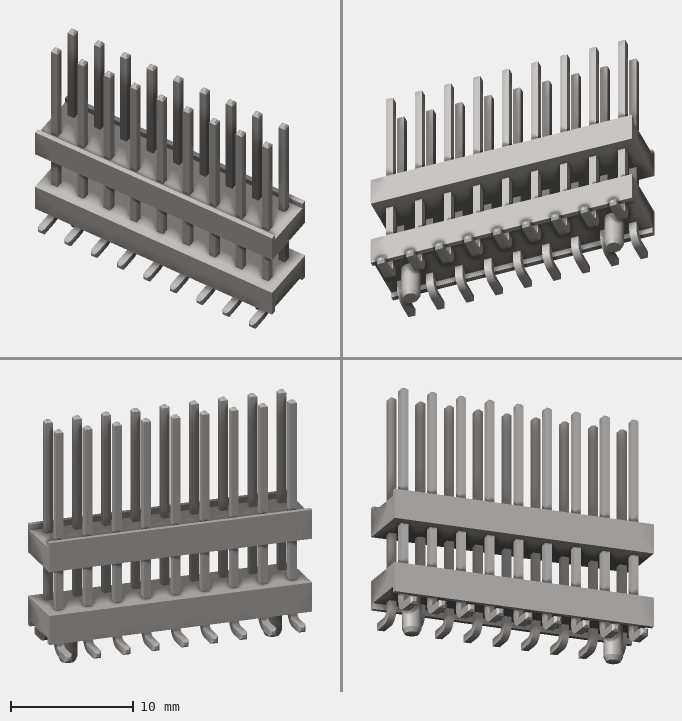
import cadquery as cq

pitch = 2.54
columns = 9
rows = 2
row_y = pitch / 2
first_column_x = -(columns - 1) * pitch / 2

pin_width = pitch / 4
pin_top_z = 19.43
foot_reach = 3.745
bend_inner_radius = pitch / 5
bend_outer_radius = bend_inner_radius + pin_width
tip_length = 0.18
tip_inset = 0.18

housing_length = columns * pitch
housing_width = rows * pitch
housing_height = pitch
lip_height = pitch / 5
lip_width = 0.42
lower_housing_z = pitch / 2
housing_gap = 1.5 * pitch
upper_housing_z = lower_housing_z + housing_height + housing_gap

peg_diameter = 1.6
peg_bottom_z = -pitch / 2
peg_taper_height = 0.4
peg_taper_inset = 0.2
peg_x = -first_column_x - pitch / 2
recess_floor_z = lower_housing_z + lip_height


def box_on(base_z, length, width, height):
    """Box centred on X and Y, standing on base_z."""
    box = cq.Workplane("XY").box(length, width, height, centered=(True, True, False))
    return box.translate((0, 0, base_z))


def lipped_housing(base_z, channel_z):
    """Housing block with a full-length channel between its side lips."""
    block = box_on(base_z, housing_length, housing_width, housing_height)
    channel = box_on(channel_z, housing_length, housing_width - 2 * lip_width, lip_height)
    return block.cut(channel)


def tapered_tip():
    """Frustum that ends a pin, growing along +Z from the origin."""
    end_width = pin_width - 2 * tip_inset
    return (
        cq.Workplane("XY")
        .rect(pin_width, pin_width)
        .workplane(offset=tip_length)
        .rect(end_width, end_width)
        .loft(ruled=True)
    )


def bent_pin():
    """Pin of the +Y row at x = 0, with its foot pointing toward +Y."""
    inner_y = row_y - pin_width / 2
    outer_y = row_y + pin_width / 2
    post_end_z = pin_top_z - tip_length
    foot_end_y = foot_reach - tip_length
    shank = (
        cq.Workplane("YZ")
        .moveTo(inner_y, post_end_z)
        .lineTo(inner_y, bend_outer_radius)
        .radiusArc((inner_y + bend_outer_radius, 0), -bend_outer_radius)
        .lineTo(foot_end_y, 0)
        .lineTo(foot_end_y, pin_width)
        .lineTo(outer_y + bend_inner_radius, pin_width)
        .radiusArc((outer_y, bend_outer_radius), bend_inner_radius)
        .lineTo(outer_y, post_end_z)
        .close()
        .extrude(pin_width / 2, both=True)
    )
    post_tip = tapered_tip().translate((0, row_y, post_end_z))
    foot_tip = tapered_tip().rotate((0, 0, 0), (1, 0, 0), -90)
    foot_tip = foot_tip.translate((0, foot_end_y, pin_width / 2))
    return shank.union(post_tip).union(foot_tip)


def locating_peg(x):
    """Round peg with a tapered end, hanging from the floor of the lower channel."""
    peg = (
        cq.Workplane("XY", origin=(x, 0, peg_bottom_z))
        .circle(peg_diameter / 2)
        .extrude(recess_floor_z - peg_bottom_z)
    )
    return peg.faces("<Z").chamfer(peg_taper_height, peg_taper_inset)


header = lipped_housing(lower_housing_z, lower_housing_z)

spacer = lipped_housing(upper_housing_z, upper_housing_z + housing_height - lip_height)

for column in range(columns):
    column_x = first_column_x + column * pitch
    for turn in (0, 180):
        pin = bent_pin().rotate((0, 0, 0), (0, 0, 1), turn).translate((column_x, 0, 0))
        header = header.union(pin)
        spacer = spacer.cut(pin)

pegs = [locating_peg(x) for x in (-peg_x, peg_x)]

result = cq.Compound.makeCompound([header.val(), spacer.val(), *[peg.val() for peg in pegs]])